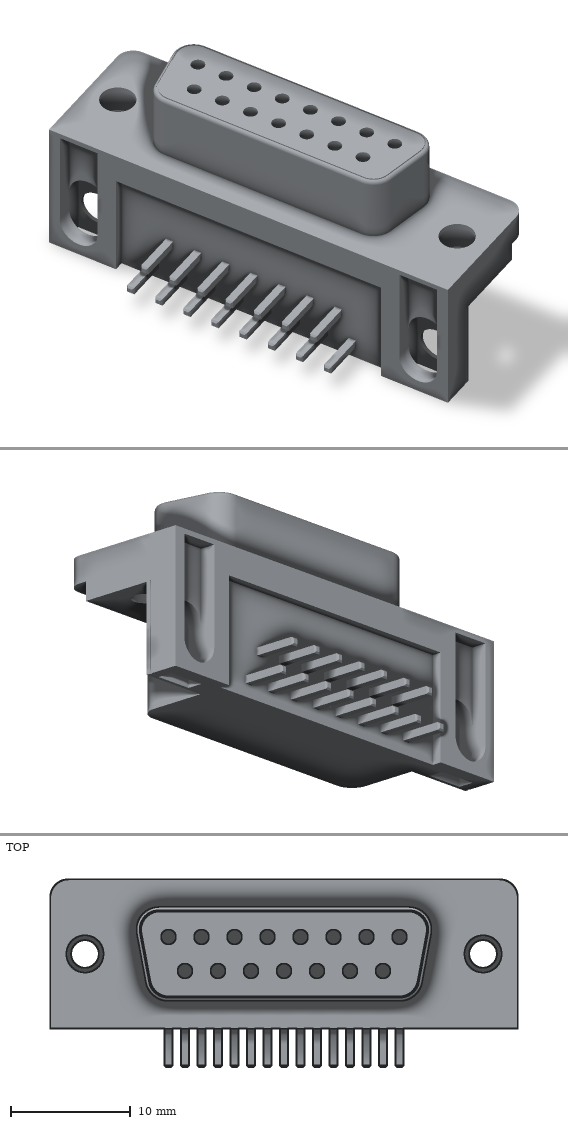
import cadquery as cq
import math


WIDTH = 39.14
FLANGE_DEPTH = 12.5
FLANGE_TOP = 12.5
FLANGE_THICKNESS = 2.5
FLANGE_CORNER_RADIUS = 1.55
BACK_LIP = 2.25
BLOCK_BOTTOM = 8.27

FRONT_Y = -FLANGE_DEPTH / 2
BACK_Y = FLANGE_DEPTH / 2
BLOCK_BACK_Y = BACK_Y - BACK_LIP
FLANGE_BOTTOM = FLANGE_TOP - FLANGE_THICKNESS

BODY_WIDTH = 26.0
BODY_CORNER_RADIUS = 1.65
WING_THICKNESS = 3.3
PLATE_THICKNESS = 0.36
WING_GROOVE_WIDTH = 0.13
WING_GROOVE_DEPTH = 0.1
RECESS_DEPTH = 0.9
RECESS_HEIGHT = 9.77

WING_BACK_Y = FRONT_Y + WING_THICKNESS

MOUNT_SPACING = 33.3
MOUNT_HOLE_DIAMETER = 3.12
SCREW_HOLE_DIAMETER = 2.3
SLOT_WIDTH = 3.68
SLOT_TOP = 12.03
SLOT_DEPTH = 1.5
CAVITY_TOP = 6.88
MOUNT_HOLE_Z = 2.94
CAVITY_BACK_Y = WING_BACK_Y - PLATE_THICKNESS

SHELL_TOP = 18.52
SHELL_WIDTH = 24.68
SHELL_HEIGHT = 7.86
SHELL_CORNER_RADIUS = 1.9
SHELL_SIDE_ANGLE = 10.5
SHELL_EDGE_RADIUS = 0.37
RIM_GROOVE_INSET = 0.27
RIM_GROOVE_WIDTH = 0.12
RIM_GROOVE_DEPTH = 0.1

CONTACT_PITCH = 2.76
ROW_SPACING = 2.84
LONG_ROW_COUNT = 8
SHORT_ROW_COUNT = 7
SOCKET_DIAMETER = 1.24
SOCKET_DEPTH = 5.0
PIN_SIZE = 0.7
PIN_PROTRUSION = 3.22
PIN_TIP_CHAMFER = 0.15
LOWER_PIN_Z = 1.52


def box(x_size, y_min, y_max, z_min, z_max, x_centre=0.0):
    """Box centred on x_centre and spanning the given Y and Z limits."""
    return (
        cq.Workplane("XY", origin=(x_centre, 0, z_min))
        .center(0, (y_min + y_max) / 2)
        .rect(x_size, y_max - y_min)
        .extrude(z_max - z_min)
    )


def cylinder_y(x, z, diameter, y_min, y_max):
    """Cylinder along Y."""
    return (
        cq.Workplane("XZ", origin=(x, y_max, z))
        .circle(diameter / 2)
        .extrude(y_max - y_min)
    )


def cylinder_z(x, y, diameter, z_min, z_max):
    """Cylinder along Z."""
    return cq.Workplane("XY", origin=(x, y, z_min)).circle(diameter / 2).extrude(z_max - z_min)


def row_positions(count):
    """X positions of one contact row centred on X = 0."""
    return [(i - (count - 1) / 2) * CONTACT_PITCH for i in range(count)]


def make_housing():
    """Flange with rounded rear corners, block, centre body and grooved wings."""
    flange = box(WIDTH, FRONT_Y, BACK_Y, FLANGE_BOTTOM, FLANGE_TOP)
    flange = flange.edges("|Z and >Y").fillet(FLANGE_CORNER_RADIUS)
    block = box(WIDTH, FRONT_Y, BLOCK_BACK_Y, BLOCK_BOTTOM, FLANGE_BOTTOM)
    wings = box(WIDTH, FRONT_Y, WING_BACK_Y, 0, BLOCK_BOTTOM)
    body = box(BODY_WIDTH, FRONT_Y, BLOCK_BACK_Y, 0, BLOCK_BOTTOM)
    body = body.edges("|Z and >Y").fillet(BODY_CORNER_RADIUS)
    recess = box(BODY_WIDTH, FRONT_Y, FRONT_Y + RECESS_DEPTH, 0, RECESS_HEIGHT)
    housing = flange.union(block).union(wings).union(body).cut(recess)
    for end_x in (-WIDTH / 2, WIDTH / 2):
        groove = box(
            2 * WING_GROOVE_DEPTH,
            CAVITY_BACK_Y - WING_GROOVE_WIDTH,
            CAVITY_BACK_Y,
            0,
            BLOCK_BOTTOM,
            end_x,
        )
        housing = housing.cut(groove)
    return housing


def d_prism(inset, z_min, z_max):
    """D-shaped prism with rounded corners, offset inward from the shell side by inset."""
    radius = SHELL_CORNER_RADIUS
    half_height = SHELL_HEIGHT / 2
    angle = math.radians(SHELL_SIDE_ANGLE)
    centre_y = half_height - radius
    side_x = SHELL_WIDTH / 2 - radius + radius / math.cos(angle)
    rear_x = side_x + (half_height - centre_y) * math.tan(angle)
    front_x = side_x - (half_height + centre_y) * math.tan(angle)
    outline = [
        (-rear_x, half_height),
        (rear_x, half_height),
        (front_x, -half_height),
        (-front_x, -half_height),
    ]
    base = cq.Workplane("XY", origin=(0, 0, z_min)).polyline(outline).close()
    if inset > 0:
        base = base.offset2D(-inset)
    return base.extrude(z_max - z_min).edges("|Z").fillet(radius - inset)


def make_shell():
    """Shell with a rounded top edge and a fine groove between the rim and the insert."""
    shell = d_prism(0, FLANGE_TOP, SHELL_TOP)
    shell = shell.faces(">Z").edges().fillet(SHELL_EDGE_RADIUS)
    groove_bottom = SHELL_TOP - RIM_GROOVE_DEPTH
    insert_inset = RIM_GROOVE_INSET + RIM_GROOVE_WIDTH
    groove = d_prism(RIM_GROOVE_INSET, groove_bottom, SHELL_TOP)
    insert = d_prism(insert_inset, groove_bottom, SHELL_TOP)
    return shell.cut(groove.cut(insert))


def cut_mount(part, x):
    """Cut the stepped screw hole in the flange and the slot, cavity and hole in one wing."""
    half_slot = SLOT_WIDTH / 2
    slot = (
        cq.Workplane("XZ", origin=(x, FRONT_Y, 0))
        .moveTo(-half_slot, SLOT_TOP)
        .lineTo(-half_slot, MOUNT_HOLE_Z)
        .threePointArc((0, MOUNT_HOLE_Z - half_slot), (half_slot, MOUNT_HOLE_Z))
        .lineTo(half_slot, SLOT_TOP)
        .close()
        .extrude(-SLOT_DEPTH)
    )
    cavity_spring_z = CAVITY_TOP - half_slot
    cavity = (
        cq.Workplane("XZ", origin=(x, FRONT_Y + SLOT_DEPTH, 0))
        .moveTo(-half_slot, 0)
        .lineTo(-half_slot, cavity_spring_z)
        .threePointArc((0, CAVITY_TOP), (half_slot, cavity_spring_z))
        .lineTo(half_slot, 0)
        .close()
        .extrude(FRONT_Y + SLOT_DEPTH - CAVITY_BACK_Y)
    )
    wing_hole = cylinder_y(x, MOUNT_HOLE_Z, MOUNT_HOLE_DIAMETER, FRONT_Y, BLOCK_BACK_Y)
    counterbore = cylinder_z(x, 0, MOUNT_HOLE_DIAMETER, FLANGE_BOTTOM, FLANGE_TOP)
    screw_hole = cylinder_z(x, 0, SCREW_HOLE_DIAMETER, BLOCK_BOTTOM, FLANGE_TOP)
    for cutter in (slot, cavity, wing_hole, counterbore, screw_hole):
        part = part.cut(cutter)
    return part


def make_socket(x, y):
    """Contact hole in the mating face."""
    return cylinder_z(x, y, SOCKET_DIAMETER, SHELL_TOP - SOCKET_DEPTH, SHELL_TOP)


def make_pin(x, z):
    """Square board pin with a chamfered tip, standing on the recess floor."""
    pin = box(
        PIN_SIZE,
        FRONT_Y - PIN_PROTRUSION,
        FRONT_Y + RECESS_DEPTH,
        z - PIN_SIZE / 2,
        z + PIN_SIZE / 2,
        x,
    )
    return pin.faces("<Y").edges().chamfer(PIN_TIP_CHAMFER)


result = make_housing().union(make_shell())

for mount_x in (-MOUNT_SPACING / 2, MOUNT_SPACING / 2):
    result = cut_mount(result, mount_x)

for contact_x in row_positions(LONG_ROW_COUNT):
    result = result.cut(make_socket(contact_x, ROW_SPACING / 2))
    result = result.union(make_pin(contact_x, LOWER_PIN_Z))

for contact_x in row_positions(SHORT_ROW_COUNT):
    result = result.cut(make_socket(contact_x, -ROW_SPACING / 2))
    result = result.union(make_pin(contact_x, LOWER_PIN_Z + ROW_SPACING))